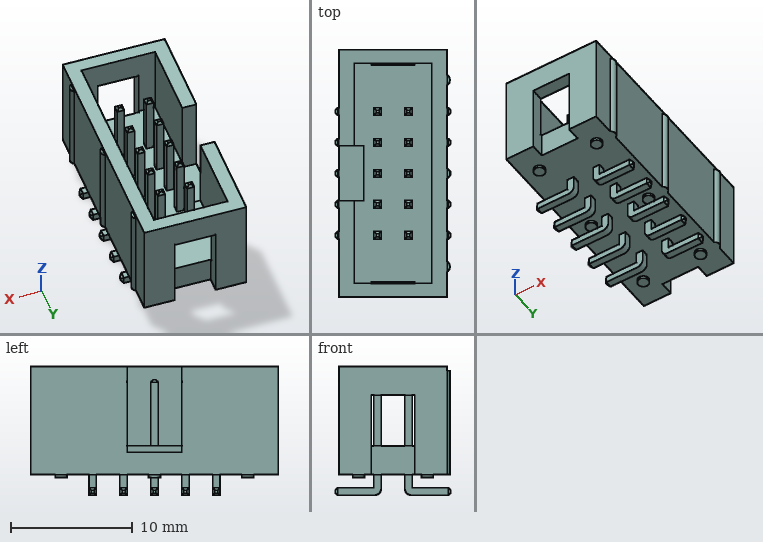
import cadquery as cq


body_width = 8.9
body_length = 20.35
body_height = 8.9
cavity_width = 6.41
cavity_length = 18.08
floor_height = 2.36

window_width = 3.55
window_top = 6.54
window_slot_depth = 1.26

notch_width = 4.52
notch_depth = 2.05
notch_floor = 1.85

pin_count = 5
pitch = 2.55
pin_size = 0.63
pin_top = 7.8
foot_bottom = -1.71
foot_span = 9.5
bend_radius = 0.57
tip_length = 0.2
tip_flat = 0.25

round_diameter = 1.0
round_spacing = 7.68
peg_offset = 2.83
peg_height = 0.25
rib_projection = 0.25
rib_top_gap = 0.35


def box(x_min, x_max, y_size, z_min, z_max, y_center=0.0):
    """Box given by its X and Z limits and its size along Y."""
    width = x_max - x_min
    height = z_max - z_min
    corner = (x_min, y_center - y_size / 2, z_min)
    return cq.Workplane("XY").box(width, y_size, height, centered=False).translate(corner)


def make_housing():
    half_width = body_width / 2
    housing = box(-half_width, half_width, body_length, 0, body_height)
    cavity = box(-cavity_width / 2, cavity_width / 2, cavity_length, floor_height, body_height)
    housing = housing.cut(cavity)

    slot_y = (body_length - window_slot_depth) / 2
    for y in (-slot_y, slot_y):
        slot = box(-window_width / 2, window_width / 2, window_slot_depth, 0, window_top, y)
        housing = housing.cut(slot)

    notch = box(-half_width, -half_width + notch_depth, notch_width, notch_floor, body_height)
    return housing.cut(notch)


def make_tip(origin, direction):
    """Blunt pyramid on the end of a square pin."""
    plane = cq.Plane(origin=origin, xDir=(0, 1, 0), normal=direction)
    return (
        cq.Workplane(plane)
        .rect(pin_size, pin_size)
        .workplane(offset=tip_length)
        .rect(tip_flat, tip_flat)
        .loft(ruled=True)
    )


def make_pin():
    """Upright pin at +X whose foot bends outward toward +X."""
    center_x = pitch / 2
    inner_x = center_x - pin_size / 2
    foot_end = foot_span / 2 - tip_length
    shoulder = pin_top - tip_length

    upright = box(inner_x, inner_x + pin_size, pin_size, foot_bottom, shoulder)
    foot = box(inner_x, foot_end, pin_size, foot_bottom, foot_bottom + pin_size)
    bent_bar = upright.union(foot).edges("|Y and <X and <Z").fillet(bend_radius)

    top_tip = make_tip((center_x, 0, shoulder), (0, 0, 1))
    foot_tip = make_tip((foot_end, 0, foot_bottom + pin_size / 2), (1, 0, 0))
    return bent_bar.union(top_tip).union(foot_tip)


result = make_housing()

right_pin = make_pin()
left_pin = right_pin.mirror("YZ")
for index in range(pin_count):
    pin_y = (index - (pin_count - 1) / 2) * pitch
    for pin in (left_pin, right_pin):
        result = result.union(pin.translate((0, pin_y, 0)))

rib_x = body_width / 2 + rib_projection - round_diameter / 2
rib_height = body_height - rib_top_gap
for y in (-round_spacing, 0, round_spacing):
    for x in (-peg_offset, peg_offset):
        peg = cq.Workplane("XY").center(x, y).circle(round_diameter / 2).extrude(-peg_height)
        result = result.union(peg)
    rib = cq.Workplane("XY").center(rib_x, y).circle(round_diameter / 2).extrude(rib_height)
    result = result.union(rib)